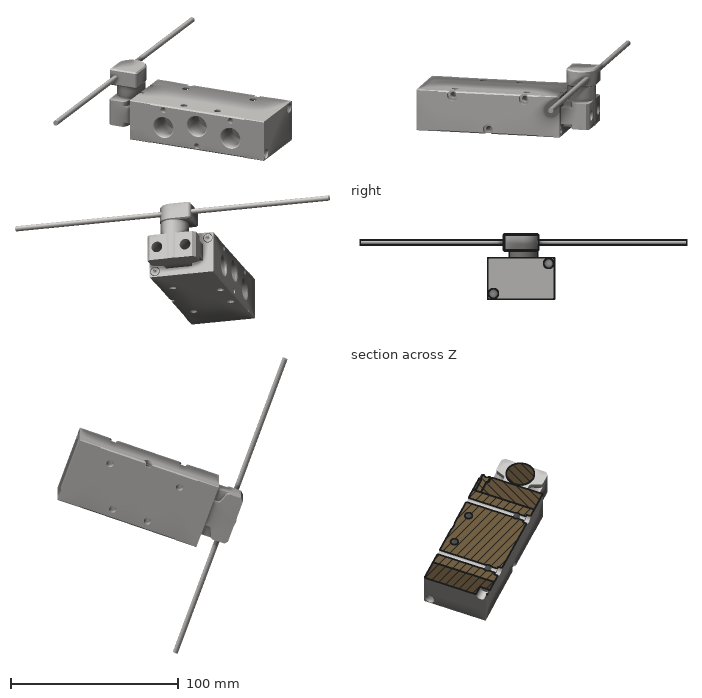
import cadquery as cq


valve_length = 88.0
valve_width = 40.0
valve_height = 25.0
cap_length = 13.0
valve_front_y = -21.5
valve_start_x = 9.0
valve_end_x = valve_start_x + valve_length
valve_back_y = valve_front_y + valve_width
body_start_x = valve_start_x + cap_length
body_end_x = valve_end_x - cap_length
body_middle_x = (valve_start_x + valve_end_x) / 2
body_edge_chamfer = 0.8
cap_edge_chamfer = 0.4

port_radius = 6.0
port_mouth_radius = 6.6
port_mouth_depth = 0.5
port_depth = 15.6
mounting_spacing_x = 44.0
outer_port_z = 11.1
middle_port_z = 15.2

cross_hole_radius = 1.8
cross_hole_inset = 2.7
cross_counterbore_radius = 3.1
cross_counterbore_depth = 2.5

mounting_hole_radius = 2.1
back_hole_y = 10.5
front_hole_y = -15.8
front_hole_spacing_x = 22.0

screw_inset = 3.5
screw_recess_radius = 3.0
screw_recess_depth = 4.0
screw_head_radius = 2.5
screw_shank_radius = 1.5
socket_radius = 1.4
socket_depth = 0.5
socket_tip_radius = 1.0
socket_tip_depth = 0.8
far_recess_depth = 6.5

cap_notch_spacing = 12.9
cap_notch_width = 2.0
cap_notch_length = 2.3
cap_notch_depth = 2.0

bracket_half_width = 15.0
bracket_face_x = -8.2
bracket_bottom_z = 4.7
bracket_top_z = 20.5
bracket_middle_z = (bracket_bottom_z + bracket_top_z) / 2
bracket_chamfer = 1.8
bracket_hole_radius = 3.3
bracket_hole_spacing = 17.5
neck_radius = 8.5
spindle_radius = 2.1
shoulder_depth = 3.0
shoulder_half_width = 8.0
shoulder_outer_x = 2.0
shoulder_inner_x = 4.7
shoulder_fillet = 2.0

head_radius = 9.0
head_front_y = -12.0
head_bottom_z = 28.9
head_top_z = 39.2
head_chamfer = 0.8
rod_length = 195.0
rod_radius = 1.5
rod_x = -4.9
rod_z = (head_bottom_z + head_top_z) / 2


def block(start, end):
    """Box between two opposite corners."""
    size = [high - low for low, high in zip(start, end)]
    return cq.Workplane("XY").box(*size, centered=False).translate(start)


def cylinder_x(x, y, z, radius, length):
    """Cylinder that starts at (x, y, z) and runs toward +X."""
    return cq.Workplane("YZ", origin=(x, y, z)).circle(radius).extrude(length)


def cylinder_y(x, y, z, radius, length):
    """Cylinder that starts at (x, y, z) and runs toward +Y."""
    return cq.Workplane("XZ", origin=(x, y, z)).circle(radius).extrude(-length)


def cylinder_z(x, y, z, radius, length):
    """Cylinder that starts at (x, y, z) and runs toward +Z."""
    return cq.Workplane("XY", origin=(x, y, z)).circle(radius).extrude(length)


def valve_block(start_x, end_x, edge_chamfer):
    """Stretch of the valve with its four long edges chamfered."""
    stretch = block((start_x, valve_front_y, 0), (end_x, valve_back_y, valve_height))
    return stretch.edges("|X").chamfer(edge_chamfer)


def make_body():
    body = valve_block(body_start_x, body_end_x, body_edge_chamfer)
    left_x = body_middle_x - mounting_spacing_x / 2
    right_x = body_middle_x + mounting_spacing_x / 2

    for x, z in [(left_x, outer_port_z), (body_middle_x, middle_port_z), (right_x, outer_port_z)]:
        body = body.cut(cylinder_y(x, valve_front_y, z, port_radius, port_depth))
        mouth = cq.Solid.makeCone(
            port_mouth_radius,
            port_radius,
            port_mouth_depth,
            pnt=cq.Vector(x, valve_front_y, z),
            dir=cq.Vector(0, 1, 0),
        )
        body = body.cut(cq.Workplane(mouth))

    upper_z = valve_height - cross_hole_inset
    for x, z in [(left_x, upper_z), (body_middle_x, cross_hole_inset), (right_x, upper_z)]:
        body = body.cut(cylinder_y(x, valve_front_y, z, cross_hole_radius, valve_width))
        counterbore_y = valve_back_y - cross_counterbore_depth
        counterbore = cylinder_y(x, counterbore_y, z, cross_counterbore_radius, cross_counterbore_depth)
        body = body.cut(counterbore)

    for spacing, y in [(mounting_spacing_x, back_hole_y), (front_hole_spacing_x, front_hole_y)]:
        for side in (-1, 1):
            x = body_middle_x + side * spacing / 2
            body = body.cut(cylinder_z(x, y, 0, mounting_hole_radius, valve_height))
    return body


screw_front_y = valve_front_y + screw_inset
screw_back_y = valve_back_y - screw_inset
screw_top_z = valve_height - screw_inset
screw_places = [(screw_front_y, screw_top_z), (screw_back_y, screw_inset)]
far_recess_places = [(screw_front_y, screw_inset), (screw_back_y, screw_top_z)]


def make_lever_cap():
    cap = valve_block(valve_start_x, body_start_x, cap_edge_chamfer)
    for y, z in screw_places:
        cap = cap.cut(cylinder_x(valve_start_x, y, z, screw_recess_radius, screw_recess_depth))
        cap = cap.cut(cylinder_x(valve_start_x, y, z, screw_shank_radius, cap_length))
    for side in (-1, 1):
        middle_y = side * cap_notch_spacing / 2
        notch = block(
            (valve_start_x, middle_y - cap_notch_width / 2, valve_height - cap_notch_depth),
            (valve_start_x + cap_notch_length, middle_y + cap_notch_width / 2, valve_height),
        )
        cap = cap.cut(notch)
    return cap


def make_far_cap():
    cap = valve_block(body_end_x, valve_end_x, cap_edge_chamfer)
    for y, z in far_recess_places:
        recess_x = valve_end_x - far_recess_depth
        cap = cap.cut(cylinder_x(recess_x, y, z, screw_recess_radius, far_recess_depth))
    return cap


def make_screw(y, z):
    """Socket screw whose head is flush with the cap; the socket ends in a cone."""
    screw = cylinder_x(valve_start_x, y, z, screw_head_radius, screw_recess_depth)
    screw = screw.union(cylinder_x(valve_start_x, y, z, screw_shank_radius, cap_length))
    screw = screw.cut(cylinder_x(valve_start_x, y, z, socket_radius, socket_depth))
    tip = cq.Solid.makeCone(
        socket_tip_radius,
        0,
        socket_tip_depth,
        pnt=cq.Vector(valve_start_x + socket_depth, y, z),
        dir=cq.Vector(1, 0, 0),
    )
    return screw.cut(cq.Workplane(tip))


def shoulder_cutter(side, bottom_z):
    """S-shaped relief beside the cap, on one side (+1 or -1) of the bracket."""
    beyond = bracket_half_width + 2 * shoulder_fillet
    outer_y = side * bracket_half_width
    inner_y = side * shoulder_half_width
    points = [
        (shoulder_outer_x - 2 * shoulder_fillet, outer_y),
        (shoulder_outer_x, outer_y),
        (shoulder_inner_x, inner_y),
        (valve_start_x, inner_y),
        (valve_start_x, side * beyond),
        (shoulder_outer_x - 2 * shoulder_fillet, side * beyond),
    ]
    cutter = cq.Workplane("XY", origin=(0, 0, bottom_z)).polyline(points).close().extrude(shoulder_depth)
    corners = cq.selectors.BoxSelector(
        (shoulder_outer_x - shoulder_fillet, side * (shoulder_half_width - shoulder_fillet), bottom_z),
        (shoulder_inner_x + shoulder_fillet, side * (bracket_half_width + shoulder_fillet), bracket_top_z),
    )
    return cutter.edges("|Z").edges(corners).fillet(shoulder_fillet)


def make_bracket():
    bracket = block(
        (bracket_face_x, -bracket_half_width, bracket_bottom_z),
        (valve_start_x, bracket_half_width, bracket_top_z),
    )
    bracket = bracket.edges("|Z and <X").chamfer(bracket_chamfer)
    for side in (-1, 1):
        for bottom_z in (bracket_bottom_z, bracket_top_z - shoulder_depth):
            bracket = bracket.cut(shoulder_cutter(side, bottom_z))

    neck_height = head_bottom_z - bracket_bottom_z
    bracket = bracket.union(cylinder_z(0, 0, bracket_bottom_z, neck_radius, neck_height))
    spindle_height = head_top_z - bracket_bottom_z
    bracket = bracket.union(cylinder_z(0, 0, bracket_bottom_z, spindle_radius, spindle_height))

    for side in (-1, 1):
        y = side * bracket_hole_spacing / 2
        length = valve_start_x - bracket_face_x
        hole = cylinder_x(bracket_face_x, y, bracket_middle_z, bracket_hole_radius, length)
        bracket = bracket.cut(hole)
    return bracket


def make_head():
    """D-shaped head with chamfered rims, bored for the spindle and the rod."""
    height = head_top_z - head_bottom_z
    head = (
        cq.Workplane("XY", origin=(0, 0, head_bottom_z))
        .moveTo(-head_radius, head_front_y)
        .lineTo(head_radius, head_front_y)
        .lineTo(head_radius, 0)
        .threePointArc((0, head_radius), (-head_radius, 0))
        .close()
        .extrude(height)
    )
    head = head.edges("|Z and <Y").chamfer(head_chamfer)
    head = head.faces("<Z or >Z").edges().chamfer(head_chamfer)
    head = head.cut(cylinder_z(0, 0, head_bottom_z, spindle_radius, height))
    return head.cut(make_rod())


def make_rod():
    return cylinder_y(rod_x, -rod_length / 2, rod_z, rod_radius, rod_length)


body = make_body()
lever_cap = make_lever_cap()
far_cap = make_far_cap()
screws = [make_screw(y, z).val() for y, z in screw_places]
bracket = make_bracket()
head = make_head()
rod = make_rod()

result = cq.Compound.makeCompound(
    [body.val(), lever_cap.val(), far_cap.val(), *screws, bracket.val(), head.val(), rod.val()]
)